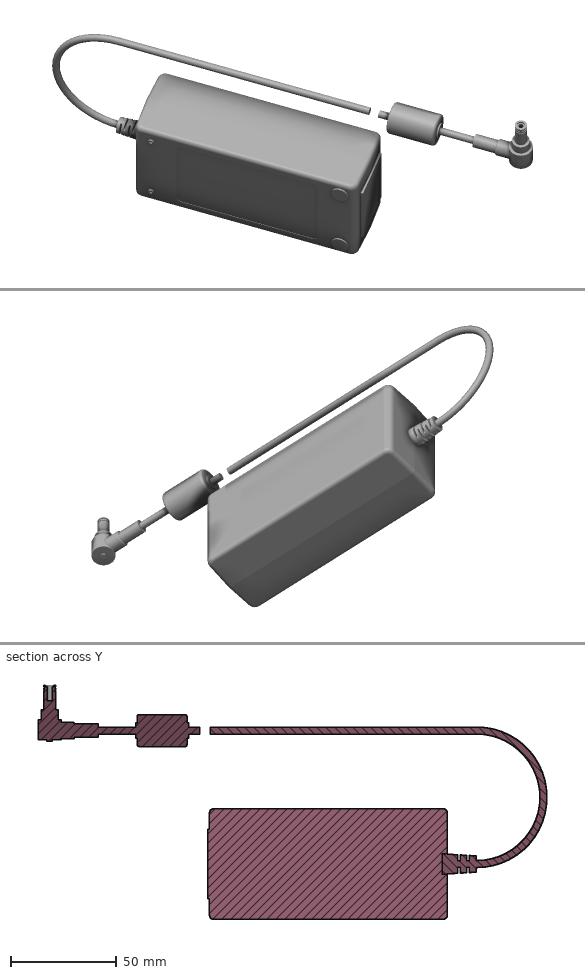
import cadquery as cq


HOUSING_LENGTH = 113.5
HOUSING_HEIGHT = 53.0
HALF_DEPTH = 18.7
DRAFT_ANGLE = 2.0
END_EDGE_RADIUS = 3.6
LONG_EDGE_RADIUS = 2.2

FOOT_RADIUS = 4.1
FOOT_HEIGHT = 0.7
FOOT_X = 48.0
SCREW_RADIUS = 1.5
SCREW_SOCKET_RADIUS = 0.7
SCREW_X = -47.5
FIXING_Z = 19.0
LABEL_LENGTH = 71.3
LABEL_HEIGHT = 41.5
LABEL_X = 1.0
LABEL_CORNER_RADIUS = 3.0
LABEL_DEPTH = 0.2
INLET_DEPTH = 26.2
INLET_HEIGHT = 33.5
INLET_STEP = 0.7
INLET_ROOT = 2.5

CABLE_RADIUS = 1.82
BEND_RADIUS = 31.8
CABLE_END_X = 56.3
RELIEF_LENGTH = 13.8
RELIEF_TIP_RADIUS = 4.0
RELIEF_ROOT_RADIUS = 4.9
RELIEF_SOCKET_DEPTH = 2.5
SLOT_COUNT = 5
SLOT_PITCH = 2.2
SLOT_WIDTH = 1.0
SLOT_FIRST_OFFSET = 2.0
SLOT_WEB_HALF = 1.7

LEAD_START_X = 61.2
FERRITE_X = 67.2
FERRITE_LENGTH = 24.0
FERRITE_RADIUS = 7.8
FERRITE_EDGE_RADIUS = 1.2
COLLAR_RADIUS = 4.0
COLLAR_STEP = 0.7
SLEEVE_X = 109.5
SLEEVE_LENGTH = 11.5
SLEEVE_RADIUS = 3.28
NECK_RADIUS = 4.0
NECK_CHAMFER = 0.5
PLUG_X = 132.7
PLUG_RADIUS = 5.7
PLUG_BASE_Z = 59.0
PLUG_HEAD_HEIGHT = 10.0
PLUG_NUB_RADIUS = 1.5
PLUG_NUB_HEIGHT = 0.6
SHOULDER_RADIUS = 4.25
SHOULDER_HEIGHT = 4.5
BARREL_RADIUS = 3.0
BARREL_LENGTH = 11.6
BORE_RADIUS = 1.2
BORE_DEPTH = 7.3
BORE_MOUTH_RADIUS = 2.0
BORE_MOUTH_DEPTH = 0.7
TIP_GROOVE_RADIUS = 2.7
TIP_GROOVE_WIDTH = 0.7
TIP_GROOVE_OFFSETS = (0.7, 2.2)

LEFT_X = -HOUSING_LENGTH / 2
RIGHT_X = HOUSING_LENGTH / 2
RELIEF_TIP_X = LEFT_X - RELIEF_LENGTH
CABLE_Z = 2 * BEND_RADIUS


def rod_x(start, length, radius, z):
    """Round bar along +X."""
    return cq.Workplane("YZ", origin=(start, 0, z)).circle(radius).extrude(length)


def rod_z(x, start, length, radius):
    """Round bar along +Z."""
    return cq.Workplane("XY", origin=(x, 0, start)).circle(radius).extrude(length)


def housing_half():
    """Drafted and rounded half of the shell, on the -Y side of the parting plane."""
    half = cq.Workplane("XZ").rect(HOUSING_LENGTH, HOUSING_HEIGHT)
    half = half.extrude(HALF_DEPTH, taper=DRAFT_ANGLE)
    half = half.faces("<Y").edges("|Z").fillet(END_EDGE_RADIUS)
    rim = half.edges("not <Y").edges("not >Y")
    return rim.fillet(LONG_EDGE_RADIUS)


def front_pads(x, radius):
    """Pair of round pads standing on the front face."""
    pads = cq.Workplane("XZ", origin=(0, -HALF_DEPTH, 0))
    return pads.pushPoints([(x, FIXING_Z), (x, -FIXING_Z)]).circle(radius)


def make_housing():
    half = housing_half()
    body = half.union(half.mirror("XZ"))

    label = cq.Workplane("XZ", origin=(LABEL_X, LABEL_DEPTH - HALF_DEPTH, 0))
    label = label.rect(LABEL_LENGTH, LABEL_HEIGHT).extrude(LABEL_DEPTH)
    body = body.cut(label.edges("|Y").fillet(LABEL_CORNER_RADIUS))

    body = body.union(front_pads(FOOT_X, FOOT_RADIUS).extrude(FOOT_HEIGHT))
    body = body.union(front_pads(SCREW_X, SCREW_RADIUS).extrude(FOOT_HEIGHT))
    body = body.cut(front_pads(SCREW_X, SCREW_SOCKET_RADIUS).extrude(FOOT_HEIGHT))

    inlet = cq.Workplane("YZ", origin=(RIGHT_X - INLET_ROOT, 0, 0))
    inlet = inlet.rect(INLET_DEPTH, INLET_HEIGHT).extrude(INLET_ROOT + INLET_STEP)
    body = body.union(inlet)

    return body.cut(rod_x(LEFT_X, RELIEF_SOCKET_DEPTH, RELIEF_ROOT_RADIUS, 0))


def relief_slots():
    """Slots from both sides, alternately across Y and across Z, leaving a web in the middle."""
    size = 2 * RELIEF_ROOT_RADIUS
    slots = cq.Workplane()
    for i in range(SLOT_COUNT):
        x = RELIEF_TIP_X + SLOT_FIRST_OFFSET + i * SLOT_PITCH
        for side in (1, -1):
            slot = cq.Workplane().box(SLOT_WIDTH, size, size)
            offset = side * (SLOT_WEB_HALF + size / 2)
            place = (x, offset, 0) if i % 2 == 0 else (x, 0, offset)
            slots = slots.add(slot.translate(place))
    return slots.combine()


def make_output_cable():
    relief = cq.Workplane("XY").polyline([
        (RELIEF_TIP_X, 0),
        (RELIEF_TIP_X, RELIEF_TIP_RADIUS),
        (LEFT_X, RELIEF_ROOT_RADIUS),
        (LEFT_X + RELIEF_SOCKET_DEPTH, RELIEF_ROOT_RADIUS),
        (LEFT_X + RELIEF_SOCKET_DEPTH, 0),
    ]).close().revolve(360, (0, 0, 0), (1, 0, 0))
    relief = relief.cut(relief_slots())

    path = cq.Workplane("XZ").moveTo(RELIEF_TIP_X, 0)
    path = path.threePointArc((RELIEF_TIP_X - BEND_RADIUS, BEND_RADIUS), (RELIEF_TIP_X, CABLE_Z))
    bend = cq.Workplane("YZ", origin=(RELIEF_TIP_X, 0, 0)).circle(CABLE_RADIUS).sweep(path)
    straight = rod_x(RELIEF_TIP_X, CABLE_END_X - RELIEF_TIP_X, CABLE_RADIUS, CABLE_Z)
    return relief.union(bend).union(straight)


def make_ferrite():
    core = rod_x(FERRITE_X, FERRITE_LENGTH, FERRITE_RADIUS, CABLE_Z)
    core = core.edges("%CIRCLE").fillet(FERRITE_EDGE_RADIUS)
    collar_length = FERRITE_LENGTH + 2 * COLLAR_STEP
    return core.union(rod_x(FERRITE_X - COLLAR_STEP, collar_length, COLLAR_RADIUS, CABLE_Z))


def tip_groove(top):
    """Ring cut from the barrel, with its upper wall at the given height."""
    bottom = top - TIP_GROOVE_WIDTH
    ring = rod_z(PLUG_X, bottom, TIP_GROOVE_WIDTH, 2 * BARREL_RADIUS)
    return ring.cut(rod_z(PLUG_X, bottom, TIP_GROOVE_WIDTH, TIP_GROOVE_RADIUS))


def make_plug():
    """Angled barrel plug: head, shoulder and barrel stacked along Z, with the neck from -X."""
    head_top = PLUG_BASE_Z + PLUG_HEAD_HEIGHT
    barrel_base = head_top + SHOULDER_HEIGHT
    barrel_tip = barrel_base + BARREL_LENGTH
    plug = rod_z(PLUG_X, PLUG_BASE_Z, PLUG_HEAD_HEIGHT, PLUG_RADIUS)
    plug = plug.union(rod_z(PLUG_X, PLUG_BASE_Z - PLUG_NUB_HEIGHT, PLUG_NUB_HEIGHT, PLUG_NUB_RADIUS))
    plug = plug.union(rod_z(PLUG_X, head_top, SHOULDER_HEIGHT, SHOULDER_RADIUS))
    plug = plug.union(rod_z(PLUG_X, barrel_base, BARREL_LENGTH, BARREL_RADIUS))

    for offset in TIP_GROOVE_OFFSETS:
        plug = plug.cut(tip_groove(barrel_tip - offset))
    plug = plug.cut(rod_z(PLUG_X, barrel_tip - BORE_DEPTH, BORE_DEPTH, BORE_RADIUS))
    plug = plug.cut(rod_z(PLUG_X, barrel_tip - BORE_MOUTH_DEPTH, BORE_MOUTH_DEPTH, BORE_MOUTH_RADIUS))

    neck_x = SLEEVE_X + SLEEVE_LENGTH
    neck = rod_x(neck_x, PLUG_X - neck_x, NECK_RADIUS, CABLE_Z)
    return plug.union(neck.faces("<X").chamfer(NECK_CHAMFER))


def make_plug_lead():
    cable = rod_x(LEAD_START_X, SLEEVE_X - LEAD_START_X, CABLE_RADIUS, CABLE_Z)
    sleeve = rod_x(SLEEVE_X, SLEEVE_LENGTH, SLEEVE_RADIUS, CABLE_Z)
    return cable.union(make_ferrite()).union(sleeve).union(make_plug())


housing = make_housing()
output_cable = make_output_cable()
plug_lead = make_plug_lead()

result = cq.Compound.makeCompound([
    housing.solids().val(),
    output_cable.solids().val(),
    plug_lead.solids().val(),
])